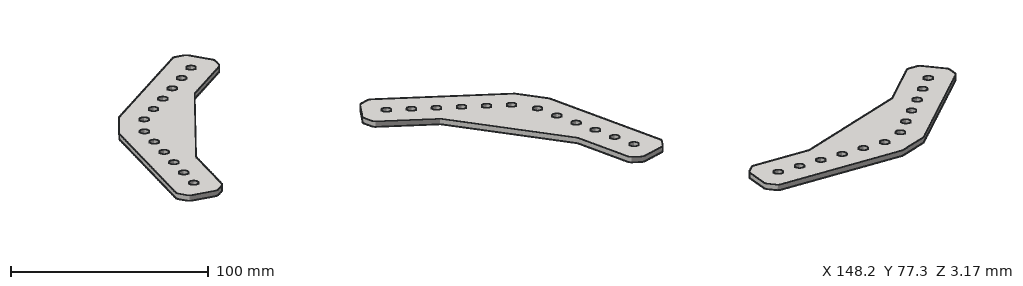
import cadquery as cq
import math

hole_pitch = 12.7
holes_per_arm = 6
hole_diameter = 5.0
thickness = 3.175
half_width = hole_pitch
end_margin = half_width
bend_angle = 45.0
bend_to_first_hole = 7.44
end_chamfer = 4.99
inner_gusset_leg = 39.2
outer_chamfer_leg = 9.95
corner_radius = 3.0

last_hole = bend_to_first_hole + (holes_per_arm - 1) * hole_pitch
arm_length = last_hole + end_margin

corner_offset = half_width * math.tan(math.radians(bend_angle / 2))


def right_arm(along, across):
    """Point on the +X arm; positive across is the inner side of the bend."""
    return (along, across)


def left_arm(along, across):
    """Point on the leaning arm; positive across is the inner side of the bend."""
    lean = math.radians(bend_angle)
    x = -along * math.cos(lean) + across * math.sin(lean)
    y = along * math.sin(lean) + across * math.cos(lean)
    return (x, y)


def arm_edge(arm):
    """Outline points of one arm, from its outer edge round the end to its inner edge."""
    return [
        arm(outer_chamfer_leg - corner_offset, -half_width),
        arm(arm_length - end_chamfer, -half_width),
        arm(arm_length, end_chamfer - half_width),
        arm(arm_length, half_width - end_chamfer),
        arm(arm_length - end_chamfer, half_width),
        arm(inner_gusset_leg + corner_offset, half_width),
    ]


def make_plate():
    outline = arm_edge(right_arm) + arm_edge(left_arm)[::-1]
    plate = cq.Workplane("XY").polyline(outline).close().extrude(thickness)
    return plate.edges("|Z").fillet(corner_radius)


def hole_centres():
    centres = []
    for arm in (right_arm, left_arm):
        for index in range(holes_per_arm):
            centres.append(arm(bend_to_first_hole + index * hole_pitch, 0))
    return centres


def drill_holes(plate):
    drill = cq.Workplane("XY").pushPoints(hole_centres()).circle(hole_diameter / 2).extrude(thickness)
    return plate.cut(drill)


result = drill_holes(make_plate())